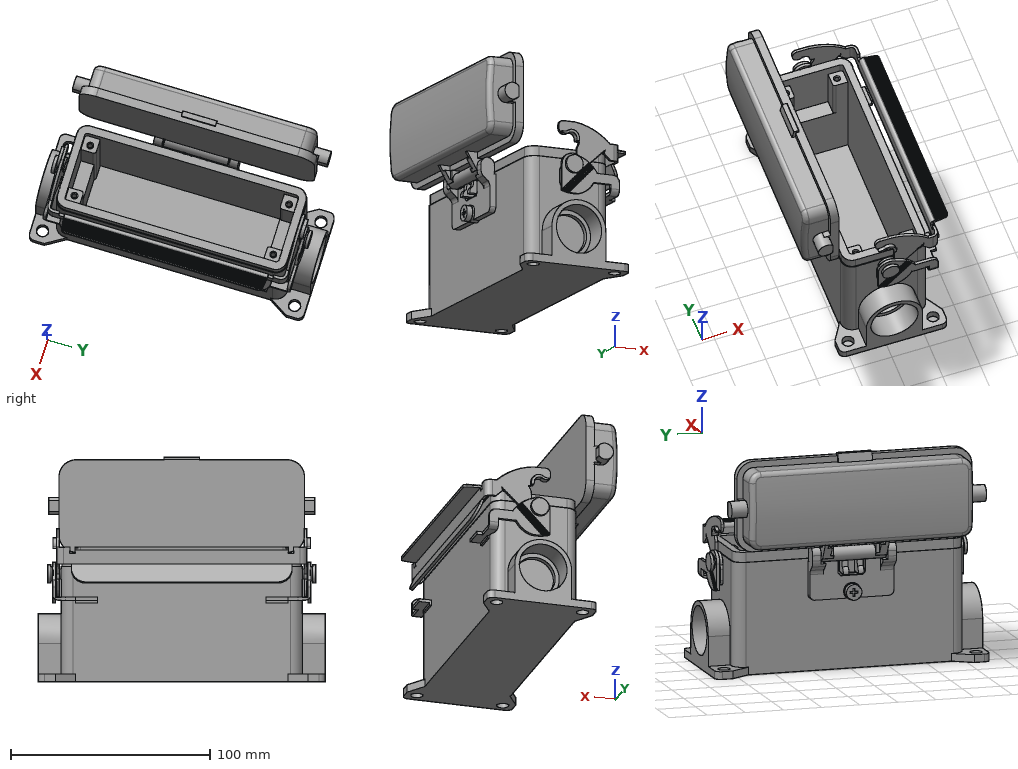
import cadquery as cq

BASE_LENGTH = 144.0
BASE_WIDTH = 57.3
BASE_THICKNESS = 4.0
BASE_CORNER_RADIUS = 3.2
EAR_STRAIGHT_Y = 63.4
EAR_ROOT_Y = 53.3
MOUNT_HOLE_X = 22.6
MOUNT_HOLE_Y = 66.1
MOUNT_HOLE_RADIUS = 3.0
HOUSING_WIDTH = 45.0
HOUSING_LENGTH = 121.0
HOUSING_TOP = 63.0
HOUSING_CORNER_RADIUS = 6.0
RIM_BOTTOM = 57.9
RIM_INSET = 0.5
HOUSING_BACK = -HOUSING_WIDTH / 2

CAVITY_WIDTH = 36.0
CAVITY_LENGTH = 112.0
CAVITY_CORNER_RADIUS = 1.5
PAD_SIZE = 7.8
PAD_RADIUS = 1.3
PAD_HOLE_X = 13.5
PAD_HOLE_Y = 52.1
PAD_HOLE_RADIUS = 1.2
PAD_COUNTERSINK_RADIUS = 1.7
PAD_HOLE_DEPTH = 8.6
COUNTERSINK_TAPER = 45
LEDGE_TOP = 34.5
LEDGE_DEPTH_PLUS_Y = PAD_SIZE
LEDGE_DEPTH_MINUS_Y = 6.9

ENTRY_Z = 19.3
ENTRY_RADIUS = 15.0
ENTRY_BORE_RADIUS = 12.5
ENTRY_BORE_DEPTH = 13.0
ENTRY_INNER_RADIUS = 10.4
ENTRY_INNER_DEPTH = 15.8

COVER_FACE_X = -25.8
COVER_FLANGE_X = -30.2
COVER_EDGE_X = -42.6
COVER_CROWN_X = -44.0
COVER_FLANGE_LENGTH = 123.3
COVER_FLANGE_HEIGHT = 46.5
COVER_FLANGE_TOP = 111.5
COVER_Z = COVER_FLANGE_TOP - COVER_FLANGE_HEIGHT / 2
COVER_FLANGE_RADIUS = 8.8
COVER_FLANGE_OVERHANG = 3.2
COVER_BODY_LENGTH = COVER_FLANGE_LENGTH - 2 * COVER_FLANGE_OVERHANG
COVER_BODY_HEIGHT = COVER_FLANGE_HEIGHT - 2 * COVER_FLANGE_OVERHANG
COVER_BODY_RADIUS = COVER_FLANGE_RADIUS - COVER_FLANGE_OVERHANG
COVER_EDGE_FILLET = 2.7
PEG_X = -34.3
PEG_RADIUS = 4.3
PEG_FLAT_X = -31.0
PEG_SPAN = 133.6
PEG_RIB_X = -33.7
TAB_LENGTH = 17.9
TAB_TOP = 112.8
TAB_FRONT_X = -28.4
TAB_BACK_X = -31.1
TAB_ROOT_X = -32.1

HINGE_X = -27.0
HINGE_Z = 60.9
HINGE_RADIUS = 3.7
HINGE_PIN_RADIUS = 1.7
BARREL_Z = 60.3
BARREL_RADIUS = 3.6
PLATE_FACE_X = COVER_FACE_X
PLATE_HALF_LENGTH = 22.0
PLATE_BOTTOM = 36.9
PLATE_TOP = 56.5
PLATE_RADIUS = 2.6
KNUCKLE_INNER_Y = 17.5
KNUCKLE_ROOT_INNER_Y = 15.0
KNUCKLE_BOTTOM = 50.0
ARM_OUTER_Y = 16.8
ARM_TOP_X = -36.0
ARM_BOTTOM_X = -30.5
ARM_BOTTOM = 58.9
ARM_CHEEK_INNER_Y = 15.0
ARM_FOOT_INNER_Y = 11.1
ARM_FOOT_TOP = 65.1
ARM_STEP_INNER_Y = 12.8
ARM_STEP_X = -31.0
ARM_STEP_BOTTOM = 60.5
WINDOW_HALF_LENGTH = 7.2
WINDOW_BOTTOM = 48.5
WINDOW_CHAMFER = 1.6
WINDOW_LIP_WIDTH = 0.9
WINDOW_LIP_DEPTH = 1.2
HOOK_INNER_Y = 2.5
HOOK_OUTER_Y = 5.5
HOOK_BOTTOM = 49.8
SCREW_Z = 40.5
SCREW_TIP_X = -29.8
SCREW_RADIUS = 4.0
SCREW_COLLAR_RADIUS = 4.3
SCREW_COLLAR_THICKNESS = 1.0
SCREW_CROSS_LENGTH = 4.0
SCREW_CROSS_WIDTH = 1.0
SCREW_CROSS_DEPTH = 1.2

PIVOT_Z = 54.1
PIVOT_RADIUS = 2.6
PIVOT_WASHER_RADIUS = 3.6
PIVOT_HEAD_RADIUS = 4.6
PIVOT_HEAD_Y = 65.7
PIVOT_END_Y = 67.2
LEVER_INNER_Y = 61.3
LEVER_OUTER_Y = 62.8
LEVER_END_RADIUS = 5.0
LEVER_TAIL_LEFT_X = -5.8
LEVER_TAIL_RIGHT_X = 4.3
LEVER_TAIL_BOTTOM = 42.8
LEVER_TAIL_RADIUS = 2.9
LIP_OUTER_Y = 64.7
THROAT_CORNER = (2.5, 67.0)
BAR_INNER_X = 25.8
BAR_OUTER_X = 27.2
BAR_BOTTOM = 59.0
BAR_TOP = 67.5
BAR_BEND_RADIUS = 3.5
BEND_START_X = BAR_OUTER_X - BAR_BEND_RADIUS
NOTCH_END_Y = 56.2
NOTCH_BOTTOM = 64.5
GRIP_START_X = 28.4
GRIP_TIP_X = 35.5
GRIP_THICKNESS = 1.5
GRIP_ROOT_HALF_LENGTH = 53.4
GRIP_TIP_HALF_LENGTH = 52.4
GRIP_CORNER_RADIUS = 1.9
GRIP_BEND_RADIUS = 2.2
GROOVE_START_X = 28.8
GROOVE_PITCH = 0.7
GROOVE_DEPTH = 0.3
GROOVE_COUNT = 9
LEAF_LENGTH = 9.8
LEAF_THICKNESS = 1.5
LEAF_HALF_LENGTH = 55.3
LEAF_CORNER_RADIUS = 7.2
LEAF_TILT = 25.0
SPRING_INNER_Y = 63.2
SPRING_OUTER_Y = 64.8
SPRING_RADIUS = 5.9
SPRING_BOTTOM = 39.6
CREASE_LENGTH = 28.8
CREASE_WIDTH = 0.6
CREASE_PITCH = 1.0
CREASE_COUNT = 4
CREASE_DEPTH = 0.5
CREASE_ANGLE = 45.5
CREASE_X = 3.6
CREASE_Z = 48.0
FOOT_LEFT_X = 21.2
FOOT_RIGHT_X = 25.9
FOOT_BOTTOM = 40.9
FOOT_THICKNESS = 1.6
FOOT_TOP = 44.0
FOOT_INNER_Y = 42.2
FOOT_BEND_RADIUS = 3.0
STOP_END_X = 29.0
STOP_OUTER_Y = 53.3
FOOT_LIP_LEFT_X = 22.5
FOOT_LIP_RIGHT_X = 23.5


def block(x_min, x_max, y_min, y_max, z_min, z_max):
    size = (x_max - x_min, y_max - y_min, z_max - z_min)
    return cq.Workplane("XY").box(*size, centered=False).translate((x_min, y_min, z_min))


def side_sketch(y):
    """Work plane with X to the right and Z up, at the given Y."""
    return cq.Workplane("XZ", origin=(0, y, 0))


def along_y(outline, y_min, y_max):
    """Extrude a closed X-Z outline drawn at y_min up to y_max."""
    return outline.extrude(y_min - y_max)


def y_cylinder(x, z, radius, y_min, y_max):
    return along_y(side_sketch(y_min).center(x, z).circle(radius), y_min, y_max)


def rounded_block(width, length, radius, z_min, z_max):
    base = cq.Workplane("XY", origin=(0, 0, z_min))
    return base.rect(width, length).extrude(z_max - z_min).edges("|Z").fillet(radius)


def both_ends(shape):
    """The shape together with its mirror image on the opposite Y side."""
    return shape.union(shape.mirror("XZ"))


def make_ear():
    """Mounting foot at the +Y end with tapered roots and two screw holes."""
    half_width = BASE_WIDTH / 2
    end = BASE_LENGTH / 2
    outline = [
        (HOUSING_BACK, EAR_ROOT_Y),
        (-half_width, EAR_STRAIGHT_Y),
        (-half_width, end),
        (half_width, end),
        (half_width, EAR_STRAIGHT_Y),
        (-HOUSING_BACK, EAR_ROOT_Y),
    ]
    ear = cq.Workplane("XY").polyline(outline).close().extrude(BASE_THICKNESS)
    ear = ear.edges("|Z and >Y").fillet(BASE_CORNER_RADIUS)
    spots = [(-MOUNT_HOLE_X, MOUNT_HOLE_Y), (MOUNT_HOLE_X, MOUNT_HOLE_Y)]
    holes = cq.Workplane("XY").pushPoints(spots).circle(MOUNT_HOLE_RADIUS).extrude(BASE_THICKNESS)
    return ear.cut(holes)


def make_entry():
    """Round-topped cable entry boss at the +Y end."""
    inner = CAVITY_LENGTH / 2
    end = BASE_LENGTH / 2
    boss = y_cylinder(0, ENTRY_Z, ENTRY_RADIUS, inner, end)
    return boss.union(block(-ENTRY_RADIUS, ENTRY_RADIUS, inner, end, 0, ENTRY_Z))


def make_entry_bore():
    """Stepped blind bore of the +Y cable entry."""
    end = BASE_LENGTH / 2
    outer_bore = y_cylinder(0, ENTRY_Z, ENTRY_BORE_RADIUS, end - ENTRY_BORE_DEPTH, end)
    return outer_bore.union(y_cylinder(0, ENTRY_Z, ENTRY_INNER_RADIUS, end - ENTRY_INNER_DEPTH, end))


def make_pads():
    """Four countersunk insert pads standing in the cavity corners."""
    pads = cq.Workplane("XY")
    for x_side in (-1, 1):
        for y_side in (-1, 1):
            centre_x = x_side * (CAVITY_WIDTH - PAD_SIZE) / 2
            centre_y = y_side * (CAVITY_LENGTH - PAD_SIZE) / 2
            pad = cq.Workplane("XY").rect(PAD_SIZE, PAD_SIZE).extrude(RIM_BOTTOM)
            inner_edge = cq.selectors.NearestToPointSelector(
                (-x_side * PAD_SIZE / 2, -y_side * PAD_SIZE / 2, RIM_BOTTOM / 2)
            )
            pad = pad.edges(inner_edge).fillet(PAD_RADIUS).translate((centre_x, centre_y, 0))
            top = cq.Workplane("XY", origin=(x_side * PAD_HOLE_X, y_side * PAD_HOLE_Y, RIM_BOTTOM))
            pad = pad.cut(top.circle(PAD_HOLE_RADIUS).extrude(-PAD_HOLE_DEPTH))
            sink_depth = PAD_COUNTERSINK_RADIUS - PAD_HOLE_RADIUS
            sink = top.circle(PAD_COUNTERSINK_RADIUS).extrude(-sink_depth, taper=COUNTERSINK_TAPER)
            pads = pads.add(pad.cut(sink))
    return pads.combine()


def make_housing():
    housing = rounded_block(HOUSING_WIDTH, HOUSING_LENGTH, HOUSING_CORNER_RADIUS, 0, RIM_BOTTOM)
    rim = rounded_block(
        HOUSING_WIDTH - 2 * RIM_INSET,
        HOUSING_LENGTH - 2 * RIM_INSET,
        HOUSING_CORNER_RADIUS - RIM_INSET,
        RIM_BOTTOM,
        HOUSING_TOP,
    )
    housing = housing.union(rim).union(both_ends(make_ear())).union(both_ends(make_entry()))
    cavity = rounded_block(
        CAVITY_WIDTH, CAVITY_LENGTH, CAVITY_CORNER_RADIUS, BASE_THICKNESS, HOUSING_TOP
    )
    side = CAVITY_WIDTH / 2
    end = CAVITY_LENGTH / 2
    cavity = cavity.cut(block(-side, side, end - LEDGE_DEPTH_PLUS_Y, end, 0, LEDGE_TOP))
    cavity = cavity.cut(block(-side, side, -end, -end + LEDGE_DEPTH_MINUS_Y, 0, LEDGE_TOP))
    cavity = cavity.cut(make_pads())
    return housing.cut(cavity).cut(both_ends(make_entry_bore()))


def make_cover():
    """Crowned lid with its flange, latch pegs and finger tab."""
    half_height = COVER_BODY_HEIGHT / 2
    half_length = COVER_BODY_LENGTH / 2
    outline = (
        side_sketch(-half_length)
        .moveTo(COVER_FACE_X, COVER_Z - half_height)
        .lineTo(COVER_EDGE_X, COVER_Z - half_height)
        .threePointArc((COVER_CROWN_X, COVER_Z), (COVER_EDGE_X, COVER_Z + half_height))
        .lineTo(COVER_FACE_X, COVER_Z + half_height)
        .close()
    )
    body = along_y(outline, -half_length, half_length)
    body = body.edges("|X").fillet(COVER_BODY_RADIUS)
    body = body.faces("<X").edges().fillet(COVER_EDGE_FILLET)
    flange = (
        cq.Workplane("YZ", origin=(COVER_FLANGE_X, 0, COVER_Z))
        .rect(COVER_FLANGE_LENGTH, COVER_FLANGE_HEIGHT)
        .extrude(COVER_FACE_X - COVER_FLANGE_X)
        .edges("|X")
        .fillet(COVER_FLANGE_RADIUS)
    )
    end = PEG_SPAN / 2
    peg = y_cylinder(PEG_X, COVER_Z, PEG_RADIUS, -end, end)
    peg_limit = block(
        PEG_X - PEG_RADIUS, PEG_FLAT_X, -end, end, COVER_Z - PEG_RADIUS, COVER_Z + PEG_RADIUS
    )
    flange_end = COVER_FLANGE_LENGTH / 2
    rib = block(
        PEG_RIB_X,
        COVER_FLANGE_X,
        -flange_end,
        flange_end,
        COVER_Z - PEG_RADIUS,
        COVER_Z + PEG_RADIUS,
    )
    tab_outline = [
        (TAB_ROOT_X, COVER_Z + half_height),
        (TAB_BACK_X, TAB_TOP),
        (TAB_FRONT_X, TAB_TOP),
        (TAB_FRONT_X, COVER_FLANGE_TOP),
        (COVER_FLANGE_X, COVER_Z + half_height),
    ]
    tab = side_sketch(-TAB_LENGTH / 2).polyline(tab_outline).close()
    tab = along_y(tab, -TAB_LENGTH / 2, TAB_LENGTH / 2)
    return body.union(flange).union(peg.intersect(peg_limit)).union(rib).union(tab)


def make_hinge_arm():
    """Sloped +Y arm with a stepped foot, joining the cover to the hinge barrel."""
    top_z = COVER_Z - COVER_BODY_HEIGHT / 2
    outline = [
        (ARM_TOP_X, top_z),
        (ARM_BOTTOM_X, ARM_BOTTOM),
        (HINGE_X, ARM_BOTTOM),
        (HINGE_X, top_z),
    ]
    cheek = side_sketch(ARM_CHEEK_INNER_Y).polyline(outline).close()
    cheek = along_y(cheek, ARM_CHEEK_INNER_Y, ARM_OUTER_Y)
    foot = side_sketch(ARM_FOOT_INNER_Y).polyline(outline).close()
    foot = along_y(foot, ARM_FOOT_INNER_Y, ARM_OUTER_Y)
    foot_limit = block(
        ARM_TOP_X, HINGE_X, ARM_FOOT_INNER_Y, ARM_OUTER_Y, ARM_BOTTOM, ARM_FOOT_TOP
    )
    step = block(
        ARM_TOP_X, ARM_STEP_X, ARM_FOOT_INNER_Y, ARM_STEP_INNER_Y, ARM_STEP_BOTTOM, ARM_FOOT_TOP
    )
    return cheek.union(foot.intersect(foot_limit).cut(step))


def make_knuckle():
    """+Y knuckle of the hinge plate, stepped inward at its root."""
    left = HINGE_X - HINGE_RADIUS
    right = HINGE_X + HINGE_RADIUS

    def knuckle_outline(y):
        return (
            side_sketch(y)
            .moveTo(HOUSING_BACK, KNUCKLE_BOTTOM)
            .lineTo(PLATE_FACE_X, KNUCKLE_BOTTOM)
            .threePointArc((-26.0, 51.4), (-27.0, 52.5))
            .lineTo(-29.5, 54.9)
            .threePointArc((-30.4, 56.3), (left, 58.2))
            .lineTo(left, HINGE_Z)
            .threePointArc((HINGE_X, HINGE_Z + HINGE_RADIUS), (right, HINGE_Z))
            .lineTo(right, PLATE_TOP)
            .lineTo(HOUSING_BACK, PLATE_TOP)
            .close()
        )

    knuckle = along_y(knuckle_outline(KNUCKLE_INNER_Y), KNUCKLE_INNER_Y, PLATE_HALF_LENGTH)
    root = along_y(knuckle_outline(KNUCKLE_ROOT_INNER_Y), KNUCKLE_ROOT_INNER_Y, PLATE_HALF_LENGTH)
    root_limit = block(left, HOUSING_BACK, 0, PLATE_HALF_LENGTH, 0, PLATE_TOP)
    return knuckle.union(root.intersect(root_limit))


def make_catch_hook():
    """+Y one of the two small hooks that stand in the window of the hinge plate."""
    outline = (
        side_sketch(HOOK_INNER_Y)
        .moveTo(HOUSING_BACK, PLATE_TOP)
        .lineTo(-26.8, PLATE_TOP)
        .lineTo(-27.2, 53.4)
        .threePointArc((-28.5, 52.1), (-29.0, HOOK_BOTTOM))
        .lineTo(HOUSING_BACK, HOOK_BOTTOM)
        .close()
    )
    return along_y(outline, HOOK_INNER_Y, HOOK_OUTER_Y)


def make_screw():
    """Cross-slotted screw that holds the hinge plate."""
    face = cq.Workplane("YZ", origin=(HOUSING_BACK, 0, SCREW_Z))
    head = face.circle(SCREW_RADIUS).extrude(SCREW_TIP_X - HOUSING_BACK)
    collar_reach = PLATE_FACE_X - SCREW_COLLAR_THICKNESS - HOUSING_BACK
    collar = face.circle(SCREW_COLLAR_RADIUS).extrude(collar_reach)
    tip = cq.Workplane("YZ", origin=(SCREW_TIP_X, 0, SCREW_Z))
    slot = tip.rect(SCREW_CROSS_LENGTH, SCREW_CROSS_WIDTH).extrude(SCREW_CROSS_DEPTH)
    cross = slot.union(tip.rect(SCREW_CROSS_WIDTH, SCREW_CROSS_LENGTH).extrude(SCREW_CROSS_DEPTH))
    return head.union(collar).cut(cross)


def make_window(x_min, x_max, inset):
    """Opening in the hinge plate with chamfered lower corners, narrowed by the inset."""
    half_length = WINDOW_HALF_LENGTH - inset
    window = block(x_min, x_max, -half_length, half_length, WINDOW_BOTTOM + inset, PLATE_TOP)
    return window.edges("|X and <Z").chamfer(WINDOW_CHAMFER)


def make_hinge():
    plate = block(
        PLATE_FACE_X, HOUSING_BACK, -PLATE_HALF_LENGTH, PLATE_HALF_LENGTH, PLATE_BOTTOM, PLATE_TOP
    )
    plate = plate.edges("|X and <Z").fillet(PLATE_RADIUS)
    recess = make_window(PLATE_FACE_X, PLATE_FACE_X + WINDOW_LIP_DEPTH, 0)
    window = recess.union(make_window(PLATE_FACE_X, HOUSING_BACK, WINDOW_LIP_WIDTH))
    hinge = plate.cut(window).union(both_ends(make_catch_hook())).union(both_ends(make_knuckle()))
    hinge = hinge.union(y_cylinder(HINGE_X, BARREL_Z, BARREL_RADIUS, -ARM_OUTER_Y, ARM_OUTER_Y))
    pin = y_cylinder(HINGE_X, HINGE_Z, HINGE_PIN_RADIUS, -PLATE_HALF_LENGTH, PLATE_HALF_LENGTH)
    return hinge.union(pin).union(both_ends(make_hinge_arm())).union(make_screw())


def make_pivot():
    """Headed pivot pin on the +Y end wall."""
    middle_of_wall = (CAVITY_LENGTH + HOUSING_LENGTH) / 4
    pin = y_cylinder(0, PIVOT_Z, PIVOT_RADIUS, middle_of_wall, PIVOT_END_Y)
    pin = pin.union(y_cylinder(0, PIVOT_Z, PIVOT_WASHER_RADIUS, LEVER_OUTER_Y, PIVOT_HEAD_Y))
    return pin.union(y_cylinder(0, PIVOT_Z, PIVOT_HEAD_RADIUS, PIVOT_HEAD_Y, PIVOT_END_Y))


def draw_throat(sketch):
    """Continue a lever outline from the throat corner along the concave edge of the hook."""
    return (
        sketch.lineTo(2.3, 68.0)
        .threePointArc((0.9, 70.5), (-1.6, 70.8))
        .threePointArc((-3.5, 70.0), (-5.2, 70.3))
    )


def make_lever_side():
    """+Y side plate of the lever with its hook and the lip along the hook's throat."""
    neck = (
        side_sketch(LEVER_INNER_Y)
        .moveTo(3.3, PIVOT_Z)
        .lineTo(3.3, 63.4)
        .lineTo(4.8, 66.5)
        .lineTo(*THROAT_CORNER)
    )
    outline = (
        draw_throat(neck)
        .threePointArc((-6.3, 71.4), (-6.8, 73.0))
        .lineTo(-6.8, 74.6)
        .threePointArc((-6.0, 76.2), (-4.5, 76.9))
        .lineTo(2.0, 76.9)
        .threePointArc((12.8, 73.7), (21.6, BAR_TOP))
        .lineTo(BEND_START_X, BAR_TOP)
        .lineTo(BEND_START_X, BAR_BOTTOM)
        .lineTo(21.9, BAR_BOTTOM)
        .lineTo(18.3, 62.4)
        .lineTo(19.0, 64.1)
        .lineTo(8.2, PIVOT_Z)
        .close()
    )
    lip = (
        draw_throat(side_sketch(LEVER_OUTER_Y).moveTo(*THROAT_CORNER))
        .lineTo(-5.8, 71.1)
        .threePointArc((-3.7, 71.1), (-2.0, 72.0))
        .threePointArc((2.0, 71.5), (3.7, 68.0))
        .lineTo(3.7, 66.8)
        .close()
    )
    plate = along_y(outline, LEVER_INNER_Y, LEVER_OUTER_Y)
    end = y_cylinder(0, PIVOT_Z, LEVER_END_RADIUS, LEVER_INNER_Y, LEVER_OUTER_Y)
    tail = block(
        LEVER_TAIL_LEFT_X,
        LEVER_TAIL_RIGHT_X,
        LEVER_INNER_Y,
        LEVER_OUTER_Y,
        LEVER_TAIL_BOTTOM,
        PIVOT_Z,
    )
    tail = tail.edges("|Y").fillet(LEVER_TAIL_RADIUS)
    return plate.union(end).union(tail).union(along_y(lip, LEVER_OUTER_Y, LIP_OUTER_Y))


def make_lever_bar():
    """Cross bar joining both lever sides, bent round at its ends."""
    inner_radius = BAR_BEND_RADIUS - (BAR_OUTER_X - BAR_INNER_X)
    bar = block(0, BAR_OUTER_X, -LEVER_OUTER_Y, LEVER_OUTER_Y, BAR_BOTTOM, BAR_TOP)
    bar = bar.edges("|Z and >X").fillet(BAR_BEND_RADIUS)
    inside = block(0, BAR_INNER_X, -LEVER_INNER_Y, LEVER_INNER_Y, BAR_BOTTOM, BAR_TOP)
    inside = inside.edges("|Z and >X").fillet(inner_radius)
    keep = block(BEND_START_X, BAR_OUTER_X, -LEVER_OUTER_Y, LEVER_OUTER_Y, BAR_BOTTOM, BAR_TOP)
    notch = block(0, BAR_OUTER_X, -NOTCH_END_Y, NOTCH_END_Y, NOTCH_BOTTOM, BAR_TOP)
    return bar.cut(inside).intersect(keep).cut(notch)


def make_grip():
    """Level finger grip bent out from the cross bar, with lengthwise V grooves on its upper face."""
    half_length = GRIP_ROOT_HALF_LENGTH
    grip_bottom = BAR_TOP - GRIP_THICKNESS
    outline = [
        (GRIP_START_X, -half_length),
        (GRIP_TIP_X, -GRIP_TIP_HALF_LENGTH),
        (GRIP_TIP_X, GRIP_TIP_HALF_LENGTH),
        (GRIP_START_X, half_length),
    ]
    bottom = cq.Workplane("XY", origin=(0, 0, grip_bottom))
    grip = bottom.polyline(outline).close().extrude(GRIP_THICKNESS)
    grip = grip.edges("|Z and >X").fillet(GRIP_CORNER_RADIUS)
    bend = block(BAR_INNER_X, GRIP_START_X, -half_length, half_length, NOTCH_BOTTOM, BAR_TOP)
    bend = bend.edges("<X and >Z").fillet(GRIP_BEND_RADIUS)
    hollow = block(BAR_OUTER_X, GRIP_START_X, -half_length, half_length, NOTCH_BOTTOM, grip_bottom)
    grip = grip.union(bend.cut(hollow))
    for index in range(GROOVE_COUNT):
        x = GROOVE_START_X + index * GROOVE_PITCH
        points = [
            (x - GROOVE_PITCH / 2, BAR_TOP),
            (x, BAR_TOP - GROOVE_DEPTH),
            (x + GROOVE_PITCH / 2, BAR_TOP),
        ]
        groove = side_sketch(-half_length).polyline(points).close()
        grip = grip.cut(along_y(groove, -half_length, half_length))
    return grip


def make_leaf():
    """Tilted strip hanging below the cross bar."""
    leaf = block(
        BAR_OUTER_X - LEAF_THICKNESS,
        BAR_OUTER_X,
        -LEAF_HALF_LENGTH,
        LEAF_HALF_LENGTH,
        BAR_BOTTOM - LEAF_LENGTH,
        BAR_BOTTOM + LEAF_THICKNESS / 2,
    )
    leaf = leaf.edges("|X and <Z").fillet(LEAF_CORNER_RADIUS)
    hinge_start = (BAR_OUTER_X, 0, BAR_BOTTOM)
    hinge_end = (BAR_OUTER_X, 1, BAR_BOTTOM)
    return leaf.rotate(hinge_start, hinge_end, -LEAF_TILT)


def make_spring():
    """+Y spring plate with diagonal creases and a foot bent in under the latch."""
    outline = (
        side_sketch(SPRING_INNER_Y)
        .moveTo(-SPRING_RADIUS, PIVOT_Z)
        .lineTo(-SPRING_RADIUS, 40.6)
        .threePointArc((-1.5, SPRING_BOTTOM), (3.5, SPRING_BOTTOM))
        .threePointArc((8.5, 42.0), (11.8, 46.1))
        .lineTo(FOOT_LEFT_X, 46.1)
        .lineTo(FOOT_LEFT_X, FOOT_TOP)
        .lineTo(FOOT_RIGHT_X, FOOT_TOP)
        .lineTo(FOOT_RIGHT_X, 47.7)
        .threePointArc((24.9, 50.0), (22.6, 51.0))
        .lineTo(13.7, 51.0)
        .threePointArc((9.4, 55.9), (3.3, 59.0))
        .threePointArc((0, PIVOT_Z + SPRING_RADIUS), (-SPRING_RADIUS, PIVOT_Z))
        .close()
    )
    spring = along_y(outline, SPRING_INNER_Y, SPRING_OUTER_Y)
    for index in range(CREASE_COUNT):
        crease = cq.Workplane("XY").box(CREASE_LENGTH, 2 * CREASE_DEPTH, CREASE_WIDTH)
        offset = (index - (CREASE_COUNT - 1) / 2) * CREASE_PITCH
        crease = crease.translate((0, SPRING_OUTER_Y, offset))
        crease = crease.rotate((0, 0, 0), (0, 1, 0), -CREASE_ANGLE)
        spring = spring.cut(crease.translate((CREASE_X, 0, CREASE_Z)))
    foot = block(FOOT_LEFT_X, FOOT_RIGHT_X, FOOT_INNER_Y, SPRING_OUTER_Y, FOOT_BOTTOM, FOOT_TOP)
    foot = foot.edges("|X and >Y and <Z").fillet(FOOT_BEND_RADIUS)
    foot_top = FOOT_BOTTOM + FOOT_THICKNESS
    foot = foot.cut(
        block(FOOT_LEFT_X, FOOT_RIGHT_X, FOOT_INNER_Y, SPRING_INNER_Y, foot_top, FOOT_TOP)
    )
    stop = block(FOOT_RIGHT_X, STOP_END_X, FOOT_INNER_Y, STOP_OUTER_Y, FOOT_BOTTOM, foot_top)
    lip = block(
        FOOT_LIP_LEFT_X, FOOT_LIP_RIGHT_X, FOOT_INNER_Y, STOP_OUTER_Y, SPRING_BOTTOM, FOOT_BOTTOM
    )
    return spring.union(foot).union(stop).union(lip)


def make_latch():
    ends = make_pivot().union(make_lever_side()).union(make_spring())
    return both_ends(ends).union(make_lever_bar()).union(make_grip()).union(make_leaf())


result = make_housing().union(make_hinge()).union(make_cover()).union(make_latch())